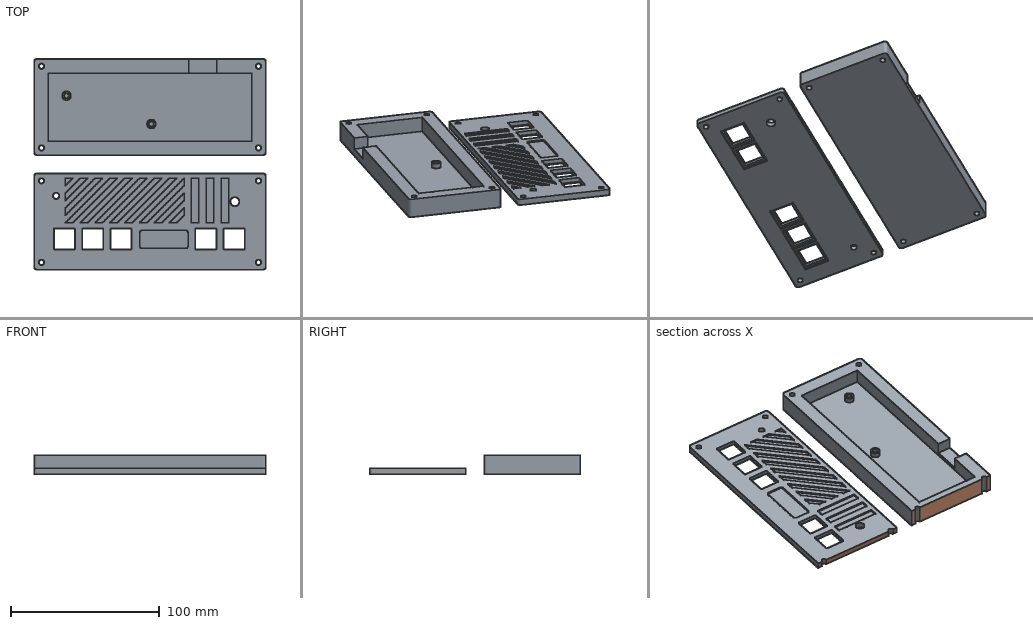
import cadquery as cq
length = 156.1
wall = 9.5
width = 65.0
corner_radius = 2.0
screw_diameter = 3.5
screw_inset = 5.0

total_depth = 142.0
case_y = total_depth - width
case_height = 13.0
floor_thickness = 3.0
boss_diameter = 6.0
boss_bore = 3.5
boss_height = 3.5
boss_places = [(21.9, 40.1), (79.0, 21.0)]
port_left = 104.1
port_width = 18.9
port_depth = 8.0

lid_thickness = 4.2
window_size = 14.0
window_radius = 0.5
window_lip = 2.8
recess_margin = 1.5
window_pitch = 19.0
window_first_x = 20.5
window_y = 20.8
window_columns = (0, 1, 2, 5, 6)
plaque_place = (87.4, 20.5)
plaque_length = 32.5
plaque_width = 12.2
plaque_radius = 1.5
small_hole_diameter = 4.0
small_hole_place = (14.8, 49.8)
large_hole_diameter = 6.0
large_hole_place = (135.2, 45.9)

engraving_depth = 1.0
groove_pitch = 10.0
groove_width = groove_pitch / 2
panel_x = 21.0
panel_y = 31.7
panel_columns = 8
panel_rows = 3
panel_length = panel_columns * groove_pitch
panel_height = panel_rows * groove_pitch
straight_groove_count = 3


def block(x, y, z, size_x, size_y, size_z):
    """Box given by its lowest corner and its sizes."""
    return cq.Workplane("XY").box(size_x, size_y, size_z, centered=False).translate((x, y, z))


def cylinder(place, z, diameter, height):
    """Upright cylinder standing at height z."""
    return cq.Workplane("XY", origin=(*place, z)).circle(diameter / 2).extrude(height)


def make_plate(thickness):
    """Rounded plate with a through screw hole in each corner."""
    plate = block(0, 0, 0, length, width, thickness).edges("|Z").fillet(corner_radius)
    for x in (screw_inset, length - screw_inset):
        for y in (screw_inset, width - screw_inset):
            plate = plate.cut(cylinder((x, y), 0, screw_diameter, thickness))
    return plate


def make_case():
    """Open tray with two hollow bosses and a port notch in the back wall."""
    case = make_plate(case_height)
    pocket_depth = case_height - floor_thickness
    pocket_width = width - 2 * wall
    case = case.cut(block(wall, wall, floor_thickness, length - 2 * wall, pocket_width, pocket_depth))
    case = case.cut(block(port_left, width - wall, case_height - port_depth, port_width, wall, port_depth))
    for place in boss_places:
        case = case.union(cylinder(place, floor_thickness, boss_diameter, boss_height))
        case = case.cut(cylinder(place, floor_thickness, boss_bore, boss_height))
    return case.translate((0, case_y, 0))


def make_engraving():
    """Cutter for the slanted grooves, the straight grooves and the name plaque."""
    groove_floor = lid_thickness - engraving_depth
    panel = block(panel_x, panel_y, groove_floor, panel_length, panel_height, engraving_depth)
    engraving = cq.Workplane("XY")

    for column in range(-panel_rows, panel_columns):
        start = panel_x + column * groove_pitch
        band = (
            cq.Workplane("XY", origin=(start, panel_y, groove_floor))
            .polyline([
                (0, 0),
                (groove_width, 0),
                (groove_width + panel_height, panel_height),
                (panel_height, panel_height),
            ])
            .close()
            .extrude(engraving_depth)
        )
        engraving = engraving.add(band.intersect(panel))

    for index in range(straight_groove_count):
        x = panel_x + panel_length + groove_width + index * groove_pitch
        engraving = engraving.add(
            block(x, panel_y, groove_floor, groove_width, panel_height, engraving_depth)
        )

    plaque = (
        cq.Workplane("XY", origin=(*plaque_place, groove_floor))
        .rect(plaque_length, plaque_width)
        .extrude(engraving_depth)
        .edges("|Z")
        .fillet(plaque_radius)
    )
    return engraving.add(plaque)


def make_window():
    """Cutter for one key window, widened below its lip by a recess from the underside."""
    recess_size = window_size + 2 * recess_margin
    window = cq.Workplane("XY").rect(window_size, window_size).extrude(lid_thickness)
    recess = cq.Workplane("XY").rect(recess_size, recess_size).extrude(lid_thickness - window_lip)
    return window.edges("|Z").fillet(window_radius).union(recess)


def make_lid():
    """Cover plate with key windows, two round holes and shallow grooves."""
    lid = make_plate(lid_thickness)
    lid = lid.cut(cylinder(small_hole_place, 0, small_hole_diameter, lid_thickness))
    lid = lid.cut(cylinder(large_hole_place, 0, large_hole_diameter, lid_thickness))
    for column in window_columns:
        lid = lid.cut(make_window().translate((window_first_x + column * window_pitch, window_y, 0)))
    for cutter in make_engraving().vals():
        lid = lid.cut(cq.Workplane(cutter))
    return lid


case = make_case()
lid = make_lid()
result = cq.Compound.makeCompound([case.val(), lid.val()])